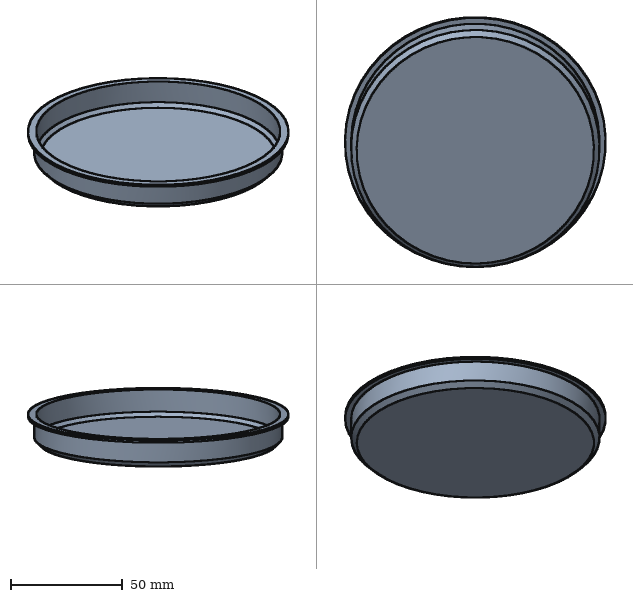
import cadquery as cq
import math

height = 13.0
body_diameter = 111.0
wall = 1.0
rim_diameter = 116.5
rim_thickness = 1.0
outer_chamfer = 2.5

body_radius = body_diameter / 2
cavity_radius = body_radius - wall
rim_radius = rim_diameter / 2
inner_chamfer = outer_chamfer - wall * (2 - math.sqrt(2))
rim_underside = height - rim_thickness


def dish_section():
    """Half section of the dish in the XZ plane, from the axis outward."""
    return (
        cq.Workplane("XZ")
        .moveTo(0, 0)
        .lineTo(body_radius - outer_chamfer, 0)
        .lineTo(body_radius, outer_chamfer)
        .lineTo(body_radius, rim_underside)
        .lineTo(rim_radius, rim_underside)
        .lineTo(rim_radius, height)
        .lineTo(cavity_radius, height)
        .lineTo(cavity_radius, wall + inner_chamfer)
        .lineTo(cavity_radius - inner_chamfer, wall)
        .lineTo(0, wall)
        .close()
    )


result = dish_section().revolve(360, (0, 0, 0), (0, 1, 0))